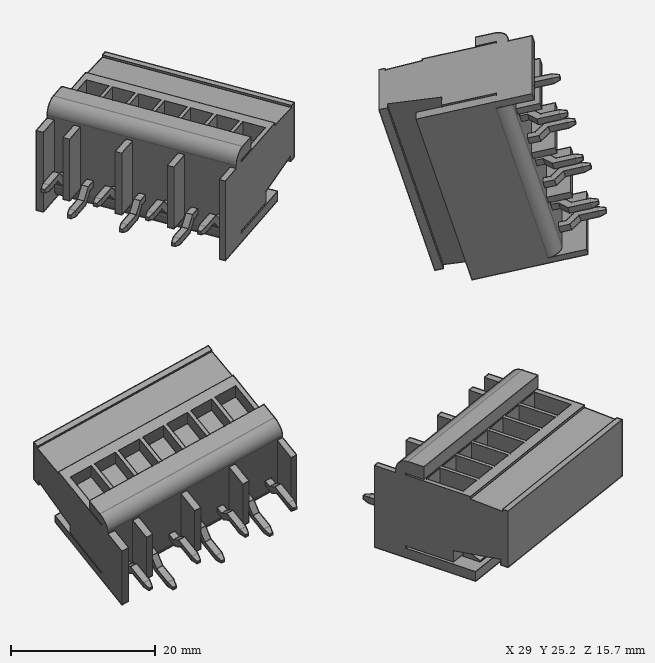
import cadquery as cq
import math

WIDTH = 29.03
HEIGHT = 15.7
REAR_Y = 22.0
FACE_Y = 3.48
EDGE_RADIUS = 2.02

PIN_COUNT = 7
PITCH = 4.0
FIRST_PIN_X = 2.62

DECK_Z = 13.42
DECK_REAR_Y = 15.8
SLOPE_TOP_Z = 13.03
REAR_GROOVE_Z = 12.78
REAR_TOP_Z = 13.13
REAR_RIM_Y = 21.1
REAR_BOTTOM_Z = 4.0
REAR_FOOT_Y = 20.78
UNDERSIDE_REAR_Z = 4.92
UNDERSIDE_FRONT_Z = 3.75
BODY_REAR_Y = 13.0

CLIP_REAR_Y = 8.14
CLIP_BOTTOM_Z = 13.66

ARM_REAR_Y = 16.67
ARM_TOP_Z = 1.56
ARM_SLOT_TOP_Z = 1.91
SLOT_FRONT_Y = 5.13

HOOK_INSET_X = 2.5
HOOK_REAR_Y = 15.8
HOOK_REAR_Z = 1.77
HOOK_CREST_Y = 13.66
HOOK_CREST_Z = 2.65

WALL_TOP_Z = 13.24
WALL_PIN_CLEARANCE = 1.5
RIB_COUNT = 3
RIB_WIDTH = 1.02
RIB_FRONT_Y = 0.05
RIB_BOTTOM_Z = 2.97

POCKET_WIDTH = 3.44
POCKET_LENGTH = 6.02
POCKET_DEPTH = 2.75

PIN_SIZE = 1.02
PIN_ROOT_Z = 4.36
PIN_OFFSET_Z = 1.56
BEND_RUN = 1.33
BEND_INNER_Y = 2.37
BEND_OUTER_Y = 1.83
TIP_START_Y = -2.22
TIP_END_Y = -3.24
TIP_SIZE = 0.55

LAST_PIN_X = FIRST_PIN_X + (PIN_COUNT - 1) * PITCH
ARC_INSET = EDGE_RADIUS * (1 - math.sqrt(0.5))


def block(x0, x1, y0, y1, z0, z1):
    """Box between two opposite corners."""
    return cq.Workplane("XY").box(x1 - x0, y1 - y0, z1 - z0, centered=False).translate((x0, y0, z0))


def housing_shell():
    """Side profile of the housing, clip bar and latch arm, extruded over the full width."""
    return (
        cq.Workplane("YZ")
        .moveTo(FACE_Y + EDGE_RADIUS, 0)
        .lineTo(ARM_REAR_Y, 0)
        .lineTo(ARM_REAR_Y, ARM_TOP_Z)
        .lineTo(BODY_REAR_Y, ARM_TOP_Z)
        .lineTo(BODY_REAR_Y, UNDERSIDE_FRONT_Z)
        .lineTo(REAR_FOOT_Y, UNDERSIDE_REAR_Z)
        .lineTo(REAR_FOOT_Y, REAR_BOTTOM_Z)
        .lineTo(REAR_Y, REAR_BOTTOM_Z)
        .lineTo(REAR_Y, REAR_TOP_Z)
        .lineTo(REAR_RIM_Y, REAR_TOP_Z)
        .lineTo(REAR_RIM_Y, REAR_GROOVE_Z)
        .lineTo(DECK_REAR_Y, SLOPE_TOP_Z)
        .lineTo(DECK_REAR_Y, DECK_Z)
        .lineTo(CLIP_REAR_Y, DECK_Z)
        .lineTo(CLIP_REAR_Y, HEIGHT)
        .lineTo(FACE_Y + EDGE_RADIUS, HEIGHT)
        .threePointArc((FACE_Y + ARC_INSET, HEIGHT - ARC_INSET), (FACE_Y, HEIGHT - EDGE_RADIUS))
        .lineTo(FACE_Y, EDGE_RADIUS)
        .threePointArc((FACE_Y + ARC_INSET, ARC_INSET), (FACE_Y + EDGE_RADIUS, 0))
        .close()
        .extrude(WIDTH)
    )


def latch_hook():
    """Ramped catch standing on the latch arm behind the body."""
    outline = [
        (BODY_REAR_Y, ARM_TOP_Z),
        (HOOK_REAR_Y, ARM_TOP_Z),
        (HOOK_REAR_Y, HOOK_REAR_Z),
        (HOOK_CREST_Y, HOOK_CREST_Z),
        (BODY_REAR_Y, HOOK_CREST_Z),
    ]
    hook = cq.Workplane("YZ").polyline(outline).close().extrude(WIDTH - 2 * HOOK_INSET_X)
    return hook.translate((HOOK_INSET_X, 0, 0))


def make_housing():
    housing = housing_shell()

    wall_back_y = FACE_Y + EDGE_RADIUS
    left_wall_x = FIRST_PIN_X - WALL_PIN_CLEARANCE
    right_wall_x = LAST_PIN_X + WALL_PIN_CLEARANCE
    for x0, x1 in ((0, left_wall_x), (right_wall_x, WIDTH)):
        housing = housing.union(block(x0, x1, 0, wall_back_y, 0, WALL_TOP_Z))

    for i in range(RIB_COUNT):
        x = FIRST_PIN_X + PITCH / 2 + 2 * i * PITCH
        rib = block(x - RIB_WIDTH / 2, x + RIB_WIDTH / 2, RIB_FRONT_Y, FACE_Y, RIB_BOTTOM_Z, WALL_TOP_Z)
        housing = housing.union(rib)

    housing = housing.cut(block(0, WIDTH, SLOT_FRONT_Y, CLIP_REAR_Y, DECK_Z, CLIP_BOTTOM_Z))
    housing = housing.cut(block(0, WIDTH, SLOT_FRONT_Y, BODY_REAR_Y, ARM_TOP_Z, ARM_SLOT_TOP_Z))

    for i in range(PIN_COUNT):
        x = FIRST_PIN_X + i * PITCH
        pocket = block(
            x - POCKET_WIDTH / 2, x + POCKET_WIDTH / 2,
            CLIP_REAR_Y, CLIP_REAR_Y + POCKET_LENGTH,
            DECK_Z - POCKET_DEPTH, DECK_Z,
        )
        housing = housing.cut(pocket)

    return housing.union(latch_hook())


def make_pin(x, side):
    """Pin standing on the housing face, bent up (side=1) or down (side=-1), with a tapered tip."""
    half = PIN_SIZE / 2
    end_z = PIN_ROOT_Z + side * PIN_OFFSET_Z
    inner = side * half
    outline = [
        (FACE_Y, PIN_ROOT_Z + inner),
        (BEND_INNER_Y, PIN_ROOT_Z + inner),
        (BEND_INNER_Y - BEND_RUN, end_z + inner),
        (TIP_START_Y, end_z + inner),
        (TIP_START_Y, end_z - inner),
        (BEND_OUTER_Y - BEND_RUN, end_z - inner),
        (BEND_OUTER_Y, PIN_ROOT_Z - inner),
        (FACE_Y, PIN_ROOT_Z - inner),
    ]
    shank = cq.Workplane("YZ").polyline(outline).close().extrude(half, both=True).translate((x, 0, 0))
    tip = (
        cq.Workplane("XZ", origin=(x, TIP_START_Y, end_z))
        .rect(PIN_SIZE, PIN_SIZE)
        .workplane(offset=TIP_START_Y - TIP_END_Y)
        .rect(TIP_SIZE, TIP_SIZE)
        .loft(ruled=True)
    )
    return shank.union(tip)


housing = make_housing()

pins = []
for index in range(PIN_COUNT):
    bend_side = 1 if index % 2 == 0 else -1
    pins.append(make_pin(FIRST_PIN_X + index * PITCH, bend_side).solids().val())

result = cq.Compound.makeCompound([housing.solids().val(), *pins])